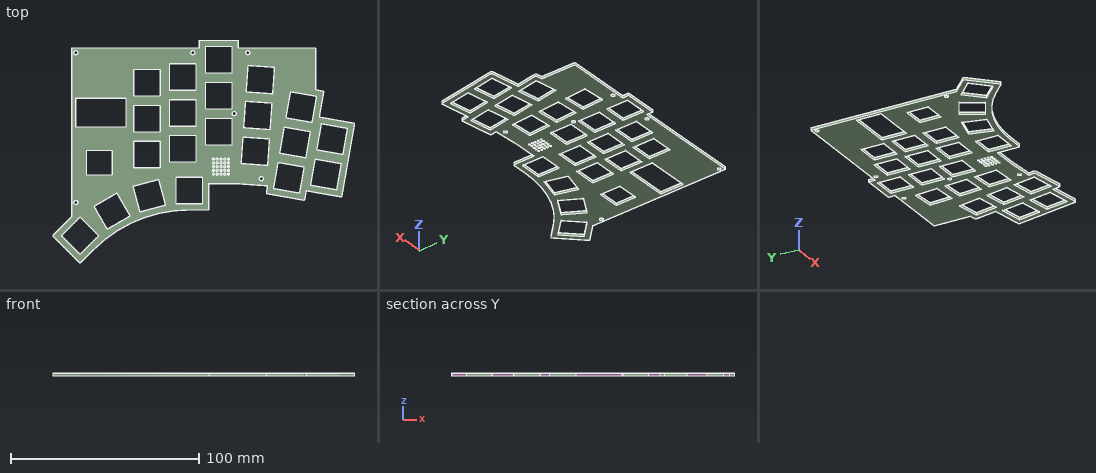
import cadquery as cq
import math


thickness = 1.5
corner_radius = 0.6
body_left = 10.0
body_right = 139.5
body_top = 114.3
body_bottom = 42.1
bend_x = 97.6

key_size = 14.0
key_pitch = 19.0
pad_half = 10.4
pad_size = 2 * pad_half

straight_columns = [(50.0, 57.6), (68.8, 60.6), (88.0, 69.8)]
keys_per_column = 3

ring_tilt = -4
ring_column = (107.4, 59.4)
pinky_tilt = -10
pinky_column = (125.1, 45.3)
outer_column = (144.8, 47.0)
outer_keys = 2

thumb_x = 72.3
thumb_y = 38.5
thumb_radius = 82.0
thumb_step = 15
thumb_keys = 4

display_center = (25.5, 79.8)
display_size = (26.5, 15.0)
encoder_center = (24.6, 53.3)
encoder_size = (13.5, 13.0)

mount_diameter = 2.1
mount_points = [(12.2, 111.7), (74.2, 111.7), (103.4, 111.7), (96.2, 79.4), (110.5, 44.8), (12.2, 32.2)]

grid_center = (89.1, 51.2)
grid_count = 5
grid_span = 8.0
grid_pitch = grid_span / (grid_count - 1)
grid_diameter = 1.0


def column(lowest, count, tilt=0):
    """Key centres going up a column from its lowest key, each with its tilt."""
    angle = math.radians(tilt)
    step_x = -key_pitch * math.sin(angle)
    step_y = key_pitch * math.cos(angle)
    return [(lowest[0] + i * step_x, lowest[1] + i * step_y, tilt) for i in range(count)]


def fan_point(radius, tilt):
    """Point on a circle around the centre of the thumb fan, tilt degrees left of straight up."""
    angle = math.radians(tilt)
    return (thumb_x - radius * math.sin(angle), thumb_y - thumb_radius + radius * math.cos(angle))


def block(center, size, tilt=0):
    """Upright block as thick as the plate, turned about its own centre."""
    shape = cq.Workplane("XY").rect(*size).extrude(thickness)
    return shape.rotate((0, 0, 0), (0, 0, 1), tilt).translate((center[0], center[1], 0))


def pad(keys):
    """Rectangle of plate around a whole column of keys."""
    first = keys[0]
    last = keys[-1]
    center = ((first[0] + last[0]) / 2, (first[1] + last[1]) / 2)
    length = math.dist(first[:2], last[:2]) + pad_size
    return block(center, (pad_size, length), first[2])


finger_columns = [column(lowest, keys_per_column) for lowest in straight_columns]
tab_column = finger_columns[-1]
ring_keys = column(ring_column, keys_per_column, ring_tilt)
pinky_keys = column(pinky_column, keys_per_column, pinky_tilt)
outer_column_keys = column(outer_column, outer_keys, pinky_tilt)
thumb_cluster = [(*fan_point(thumb_radius, i * thumb_step), i * thumb_step) for i in range(thumb_keys)]
last_thumb = thumb_cluster[-1]


def body():
    """Main sheet, with the concave arc below the thumb keys."""
    arc_radius = thumb_radius - pad_half
    thumb_right = thumb_x + pad_half
    slope_drop = (body_right - bend_x) * math.tan(math.radians(ring_tilt))
    outline = (
        cq.Workplane("XY")
        .moveTo(body_left, body_top)
        .lineTo(body_right, body_top)
        .lineTo(body_right, body_bottom + slope_drop)
        .lineTo(bend_x, body_bottom)
        .lineTo(thumb_right, body_bottom)
        .lineTo(thumb_right, thumb_y - pad_half)
        .lineTo(*fan_point(arc_radius, 0))
        .threePointArc(fan_point(arc_radius, last_thumb[2] / 2), fan_point(arc_radius, last_thumb[2]))
        .lineTo(last_thumb[0], last_thumb[1])
        .lineTo(body_left, last_thumb[1])
        .close()
    )
    sheet = outline.extrude(thickness)
    for x, y in [(body_right, body_top), (thumb_right, thumb_y - pad_half)]:
        corner = cq.selectors.NearestToPointSelector((x, y, thickness / 2))
        sheet = sheet.edges(corner).fillet(corner_radius)
    return sheet


plate = body()
for keys in ([last_thumb], pinky_keys, outer_column_keys):
    plate = plate.union(pad(keys).edges("|Z").fillet(corner_radius))
plate = plate.union(pad(tab_column))

all_keys = sum(finger_columns, []) + ring_keys + pinky_keys + outer_column_keys + thumb_cluster
for x, y, tilt in all_keys:
    plate = plate.cut(block((x, y), (key_size, key_size), tilt))

plate = plate.cut(block(display_center, display_size))
plate = plate.cut(block(encoder_center, encoder_size))

mounts = cq.Workplane("XY").pushPoints(mount_points).circle(mount_diameter / 2).extrude(thickness)
plate = plate.cut(mounts)

grid = (
    cq.Workplane("XY")
    .center(*grid_center)
    .rarray(grid_pitch, grid_pitch, grid_count, grid_count)
    .circle(grid_diameter / 2)
    .extrude(thickness)
)
result = plate.cut(grid)